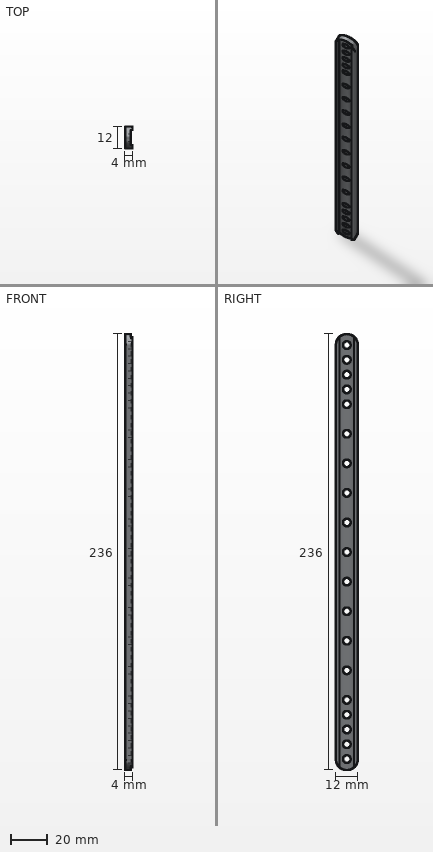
import cadquery as cq

length = 236.0
width = 12.0
thickness = 4.0
hole_diameter = 4.0
groove_depth = 1.0
groove_width = 8.0
edge_radius = 0.5

close_gaps_per_end = 4
wide_gaps = 10
wide_gap_in_pitches = 2
end_radius = width / 2
hole_span = length - 2 * end_radius
pitch = hole_span / (2 * close_gaps_per_end + wide_gap_in_pitches * wide_gaps)


def make_strip():
    """Bar with rounded long edges, trimmed to full-round ends."""
    bar = cq.Workplane("XY").box(thickness, width, length).edges("|Z").fillet(edge_radius)
    round_ended_outline = (
        cq.Workplane("YZ")
        .slot2D(length, width, angle=90)
        .extrude(thickness / 2, both=True)
    )
    return bar.intersect(round_ended_outline)


def make_groove():
    """Shallow rectangular channel along the full length of the +X face."""
    floor_x = thickness / 2 - groove_depth
    return (
        cq.Workplane("YZ", origin=(floor_x, 0, 0))
        .rect(groove_width, length)
        .extrude(groove_depth)
    )


def hole_heights():
    """Z of every hole centre, from the lowest to the highest."""
    end_gaps = [pitch] * close_gaps_per_end
    gaps = end_gaps + [wide_gap_in_pitches * pitch] * wide_gaps + end_gaps
    heights = [-hole_span / 2]
    for gap in gaps:
        heights.append(heights[-1] + gap)
    return heights


def make_holes():
    """Cylinders passing through the thickness at every hole centre."""
    return (
        cq.Workplane("YZ")
        .pushPoints([(0, z) for z in hole_heights()])
        .circle(hole_diameter / 2)
        .extrude(thickness, both=True)
    )


result = make_strip().cut(make_groove()).cut(make_holes())